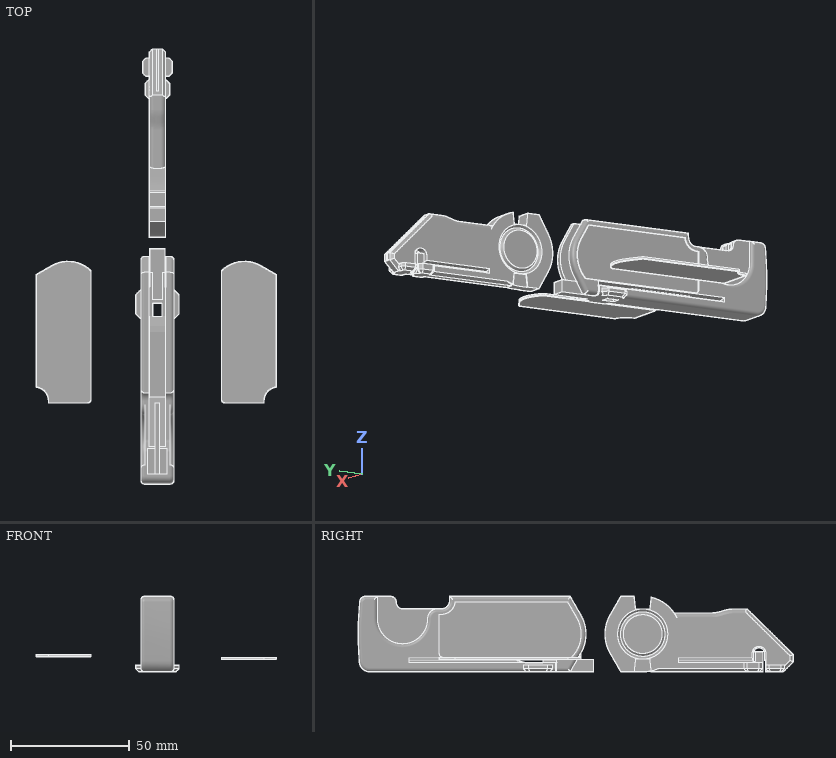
import cadquery as cq
import math


HEIGHT = 32.0
MID_Z = HEIGHT / 2
HUB_R = HEIGHT / 2
HUB_ANGLE = math.radians(30)
CARRIER_T = 7.0
EPS = 1.0
WING_H = 2.9
WING_BEVEL = 1.4
SLIT_BOTTOM = 3.9
SLIT_TOP = 5.8
SLIT_INNER_TOP = 5.0
FRONT_TIP_Y = 183.82

HANDLE_W = 14.0
PIVOT_Y = 80.3
EDGE_R = 1.6
SCOOP_FLOOR_X = 5.3
REAR_BOW = 0.9
REAR_TOP_R = 2.5
REAR_BOTTOM_R = 4.6
CUTOUT_Z = 26.7
CUTOUT_FRONT_Y = 38.6
CUTOUT_R = 3.4
CUTOUT_REAR_Y = 18.9
CUTOUT_RISE_R = (HEIGHT - CUTOUT_Z) / 2
SCOOP_Y = 18.8
SCOOP_Z = 22.5
SCOOP_R = 10.6
SCOOP_LIP_R = CUTOUT_Z - SCOOP_Z
HANDLE_SLIT_REAR_Y = 21.6
HANDLE_SLIT_FRONT_Y = 83.9
HANDLE_SLIT_DEPTH = 3.6
TONGUE_GAP = 0.5
POCKET_REAR_Y = 4.4
POCKET_SLOT_HALF = 0.95
POCKET_SLOT_FRONT_Y = 34.4
POCKET_SLOT_Z = 7.7
SHELF_HALF = 4.1
SHELF_FRONT_Y = 16.0
SHELF_DEPTH = 0.5
OPENING_HALF = 1.9
OPENING_REAR_Y = 70.9
OPENING_FRONT_Y = 76.4
HANDLE_WING_HALF = 9.2
HANDLE_WING_REAR_Y = 69.4
HANDLE_WING_FRONT_Y = 82.6
HANDLE_WING_RUN = 2.6

PLATE_R = HUB_R - 2.1
PLATE_BOTTOM = 6.2
PLATE_TOP = 29.5
PLATE_REAR_Y = 34.3
PLATE_CORNER_R = 1.5
PLATE_NOTCH_R = CUTOUT_R + 2.4
PLATE_T = 1.0
PLATE_CHAMFER = 0.3
RECESS_DEPTH = 0.5
LEFT_PLATE_X = -51.25
RIGHT_PLATE_X = 50.25
LEFT_PLATE_Z = 6.3
RIGHT_PLATE_Z = 5.2

HUB_Y = 120.2
ARM_TOP = 26.6
ARM_WAIST = 25.0
NOSE_TOP = (FRONT_TIP_Y, 7.4)
NOSE_BOTTOM = (FRONT_TIP_Y, 4.3)
SLOPE_TOP = (164.3, ARM_TOP)
SLOPE_RATIO = (SLOPE_TOP[1] - NOSE_TOP[1]) / (NOSE_TOP[0] - SLOPE_TOP[0])
TOP_EDGE_R = 2.0
BOTTOM_CHAMFER = 1.4
NOTCH_DEPTH = 5.4
NOTCH_HALF_TOP = 3.6
NOTCH_HALF_BASE = 3.0
NOTCH_WEB = 6.0
RING_OUTER_R = 10.6
RING_INNER_R = 8.2
RING_DEPTH = (RING_OUTER_R - RING_INNER_R) / 2
BLADE_SLOT_W = 0.8
BLADE_SLOT_DEPTH = 3.0
BLADE_SLOT_SETBACK = 1.7
CARRIER_SLIT_REAR_Y = 135.4
CARRIER_SLIT_DEPTH = 2.5
GATE_FRONT_Y = 172.2
GATE_REAR_Y = 166.4
GATE_TOP = 10.8
GATE_TAPER = 10.0
POST_FRONT_Y = 171.0
POST_REAR_Y = 167.7
POST_TOP = 8.6
FOOT_GAP = 1.1
WING_LENGTH = 7.8
WING_RUN = 1.4
NOSE_WING_HALF = 6.3
NOSE_WING_REAR_Y = 172.2
TONGUE_WING_HALF = 5.2
TONGUE_WING_REAR_Y = 162.9


def side_profile(x):
    """Sketch plane of a side outline: local x is Y, local y is Z."""
    return cq.Workplane("YZ", origin=(x, 0, 0))


def block(x_half, y0, y1, z0, z1):
    """Box centred on X."""
    return cq.Workplane("XY").box(2 * x_half, y1 - y0, z1 - z0, centered=(True, False, False)).translate(
        (0, y0, z0)
    )


def hub_points(centre_y, side):
    """Upper tangent point and upper corner of a round end; side is +1 toward +Y, -1 toward -Y."""
    tangent = (centre_y + side * HUB_R * math.cos(HUB_ANGLE), MID_Z + HUB_R * math.sin(HUB_ANGLE))
    reach = HUB_R / math.cos(HUB_ANGLE) - HUB_R * math.tan(HUB_ANGLE)
    corner = (centre_y + side * reach, HEIGHT)
    return tangent, corner


def mirror_z(point):
    return (point[0], HEIGHT - point[1])


def arc_mid(centre, radius, degrees):
    """Point on a circle, used as the middle of an arc."""
    angle = math.radians(degrees)
    return (centre[0] + radius * math.cos(angle), centre[1] + radius * math.sin(angle))


def slit_pair(face_x, depth, y0, y1):
    """Tapered grooves cut into both sides above a tongue."""
    profile = [
        (face_x + EPS, SLIT_BOTTOM),
        (face_x - depth, SLIT_BOTTOM),
        (face_x - depth, SLIT_INNER_TOP),
        (face_x, SLIT_TOP),
        (face_x + EPS, SLIT_TOP),
    ]
    groove = cq.Workplane("XZ", origin=(0, y0, 0)).polyline(profile).close().extrude(y0 - y1)
    return groove.union(groove.mirror("YZ"))


def thumb_wing(half_w, y0, y1, end_run, height):
    """Wing through the whole width: 45 degree ends and a bevelled lower rim."""
    inner = half_w - end_run
    plan = [(inner, y0), (half_w, y0 + end_run), (half_w, y1 - end_run), (inner, y1)]
    plan += [(-x, y) for x, y in reversed(plan)]
    wing = cq.Workplane("XY").polyline(plan).close().extrude(height)
    return wing.faces("<Z").edges().chamfer(WING_BEVEL)


def handle_outline(x, thickness):
    tangent, corner = hub_points(PIVOT_Y, 1)
    outline = (
        side_profile(x)
        .moveTo(REAR_BOW, 0)
        .lineTo(*mirror_z(corner))
        .lineTo(*mirror_z(tangent))
        .threePointArc((PIVOT_Y + HUB_R, MID_Z), tangent)
        .lineTo(*corner)
        .lineTo(REAR_BOW, HEIGHT)
        .threePointArc((0, MID_Z), (REAR_BOW, 0))
        .close()
        .extrude(thickness)
    )
    outline = outline.edges("|X").edges(">Z").edges("<Y").fillet(REAR_TOP_R)
    return outline.edges("|X").edges("<Z").edges("<Y").fillet(REAR_BOTTOM_R)


def cutout(x, thickness):
    """Opening in the top edge with a round front corner and an S-shaped rear end."""
    front_arc = (CUTOUT_FRONT_Y - CUTOUT_R, CUTOUT_Z + CUTOUT_R)
    rise_z = CUTOUT_Z + CUTOUT_RISE_R
    rise_y = CUTOUT_REAR_Y - CUTOUT_RISE_R
    lower_arc = (CUTOUT_REAR_Y, rise_z)
    upper_arc = (rise_y - CUTOUT_RISE_R, rise_z)
    return (
        side_profile(x)
        .moveTo(CUTOUT_FRONT_Y, HEIGHT + EPS)
        .lineTo(CUTOUT_FRONT_Y, front_arc[1])
        .threePointArc(arc_mid(front_arc, CUTOUT_R, -45), (front_arc[0], CUTOUT_Z))
        .lineTo(CUTOUT_REAR_Y, CUTOUT_Z)
        .threePointArc(arc_mid(lower_arc, CUTOUT_RISE_R, 225), (rise_y, rise_z))
        .threePointArc(arc_mid(upper_arc, CUTOUT_RISE_R, 45), (upper_arc[0], HEIGHT))
        .lineTo(upper_arc[0], HEIGHT + EPS)
        .close()
        .extrude(thickness)
    )


def scoop(x, thickness):
    """Finger scoop: a U open to the top, joined to the cutout by a rounded lip."""
    front_arc = (CUTOUT_FRONT_Y - CUTOUT_R, CUTOUT_Z + CUTOUT_R)
    front_y = SCOOP_Y + SCOOP_R
    rear_y = SCOOP_Y - SCOOP_R
    lip_arc = (front_y + SCOOP_LIP_R, SCOOP_Z)
    return (
        side_profile(x)
        .moveTo(CUTOUT_FRONT_Y, HEIGHT + EPS)
        .lineTo(CUTOUT_FRONT_Y, front_arc[1])
        .threePointArc(arc_mid(front_arc, CUTOUT_R, -45), (front_arc[0], CUTOUT_Z))
        .lineTo(lip_arc[0], CUTOUT_Z)
        .threePointArc(arc_mid(lip_arc, SCOOP_LIP_R, 135), (front_y, SCOOP_Z))
        .threePointArc((SCOOP_Y, SCOOP_Z - SCOOP_R), (rear_y, SCOOP_Z))
        .lineTo(rear_y, HEIGHT + EPS)
        .close()
        .extrude(thickness)
    )


def handle_cavity():
    """Space for the folded carrier: ramp for its nose, floor and the dip toward its hub."""
    floor_z = HEIGHT - ARM_TOP
    ramp_foot = (36.8, floor_z)
    ramp_top = (16.0, 26.0)
    dip_start = (64.2, floor_z)
    dip_bend = (66.7, 5.0)
    dip_end = (70.9, SLIT_BOTTOM)
    front_y = PIVOT_Y + HUB_R + EPS
    return (
        side_profile(-CARRIER_T / 2)
        .moveTo(ramp_top[0], HEIGHT + EPS)
        .lineTo(*ramp_top)
        .lineTo(*ramp_foot)
        .lineTo(*dip_start)
        .lineTo(*dip_bend)
        .lineTo(*dip_end)
        .lineTo(HANDLE_SLIT_FRONT_Y, SLIT_BOTTOM)
        .lineTo(HANDLE_SLIT_FRONT_Y, -EPS)
        .lineTo(front_y, -EPS)
        .lineTo(front_y, HEIGHT + EPS)
        .close()
        .extrude(CARRIER_T)
    )


def handle_catch():
    """Tab on the free end of the tongue; it reaches out past the round end."""
    tip_y = 99.5
    wide_half = 3.25
    narrow_half = 2.05
    wide_from_y = 89.5
    catch_rear_y = 78.0
    catch_top = 5.3
    root = block(wide_half, HANDLE_SLIT_FRONT_Y - EPS, tip_y, 0, SLIT_BOTTOM)
    ridge = block(narrow_half, catch_rear_y, tip_y, EPS, catch_top)
    head = block(wide_half, wide_from_y, tip_y, 0, catch_top)
    return root.union(ridge).union(head)


def make_handle():
    half = HANDLE_W / 2
    body = handle_outline(-SCOOP_FLOOR_X, 2 * SCOOP_FLOOR_X)
    body = body.cut(cutout(-SCOOP_FLOOR_X, 2 * SCOOP_FLOOR_X))
    cheek_t = half - SCOOP_FLOOR_X
    cheek = handle_outline(SCOOP_FLOOR_X, cheek_t).cut(scoop(SCOOP_FLOOR_X, cheek_t))
    cheek = cheek.faces(">X").edges().fillet(EDGE_R)
    body = body.union(cheek).union(cheek.mirror("YZ"))

    recess = plate_outline(half - RECESS_DEPTH, RECESS_DEPTH + EPS)
    body = body.cut(recess).cut(recess.mirror("YZ"))

    body = body.cut(handle_cavity())
    body = body.cut(block(POCKET_SLOT_HALF, POCKET_REAR_Y, POCKET_SLOT_FRONT_Y, POCKET_SLOT_Z, HEIGHT + EPS))
    body = body.cut(block(SHELF_HALF, POCKET_REAR_Y, SHELF_FRONT_Y, HEIGHT - SHELF_DEPTH, HEIGHT + EPS))

    body = body.cut(slit_pair(half, HANDLE_SLIT_DEPTH, HANDLE_SLIT_REAR_Y, HANDLE_SLIT_FRONT_Y))
    gap_rear_y = HANDLE_SLIT_FRONT_Y - TONGUE_GAP
    body = body.cut(block(half + EPS, gap_rear_y, HANDLE_SLIT_FRONT_Y, -EPS, SLIT_BOTTOM + EPS))
    wing = thumb_wing(HANDLE_WING_HALF, HANDLE_WING_REAR_Y, HANDLE_WING_FRONT_Y, HANDLE_WING_RUN, WING_H)
    opening = block(OPENING_HALF, OPENING_REAR_Y, OPENING_FRONT_Y, -EPS, SLIT_BOTTOM + EPS)
    return body.union(wing).cut(opening).union(handle_catch())


def plate_outline(x, thickness):
    """Plate shape in its place on the +X side of the handle."""
    tangent_y = PIVOT_Y + PLATE_R * math.cos(HUB_ANGLE)
    tangent_z = MID_Z + PLATE_R * math.sin(HUB_ANGLE)
    top_front_y = tangent_y - (PLATE_TOP - tangent_z) * math.tan(HUB_ANGLE)
    low_front_y = PIVOT_Y + math.sqrt(PLATE_R**2 - (MID_Z - PLATE_BOTTOM) ** 2)
    notch_y = CUTOUT_FRONT_Y - CUTOUT_R
    notch_z = CUTOUT_Z + CUTOUT_R
    rear_top_z = notch_z - PLATE_NOTCH_R
    plate = (
        side_profile(x)
        .moveTo(PLATE_REAR_Y, PLATE_BOTTOM)
        .lineTo(low_front_y, PLATE_BOTTOM)
        .threePointArc((PIVOT_Y + PLATE_R, MID_Z), (tangent_y, tangent_z))
        .lineTo(top_front_y, PLATE_TOP)
        .lineTo(notch_y + PLATE_NOTCH_R, PLATE_TOP)
        .threePointArc(arc_mid((notch_y, notch_z), PLATE_NOTCH_R, -45), (notch_y, rear_top_z))
        .lineTo(PLATE_REAR_Y, rear_top_z)
        .close()
        .extrude(thickness)
    )
    return plate.edges("|X").edges("<Y").edges("<Z").fillet(PLATE_CORNER_R)


def make_left_plate():
    """Plate laid flat with its upper edge toward -X."""
    plate = plate_outline(0, PLATE_T).rotate((0, 0, 0), (0, 1, 0), -90)
    box = plate.val().BoundingBox()
    plate = plate.translate((LEFT_PLATE_X - box.xmin, 0, LEFT_PLATE_Z - box.zmin))
    return plate.faces("<Z").edges().chamfer(PLATE_CHAMFER)


def make_right_plate():
    """Mirror image of the left plate at its own place."""
    plate = make_left_plate().mirror("YZ")
    return plate.translate((RIGHT_PLATE_X + LEFT_PLATE_X, 0, RIGHT_PLATE_Z - LEFT_PLATE_Z))


def carrier_arm():
    """Arm with a sloping nose; rounded upper edges and bevelled lower edges."""
    swell_end = (158.0, ARM_TOP)
    waist_start = (149.6, ARM_WAIST)
    rear_y = HUB_Y + NOTCH_HALF_TOP
    arm = (
        side_profile(-CARRIER_T / 2)
        .moveTo(rear_y, 0)
        .lineTo(FRONT_TIP_Y - NOSE_BOTTOM[1], 0)
        .lineTo(*NOSE_BOTTOM)
        .lineTo(*NOSE_TOP)
        .lineTo(*SLOPE_TOP)
        .lineTo(*swell_end)
        .spline([waist_start], tangents=[(-1, 0), (-1, 0)], includeCurrent=True)
        .lineTo(rear_y, ARM_WAIST)
        .close()
        .extrude(CARRIER_T)
    )
    wide = CARRIER_T
    slope_start_y = SLOPE_TOP[0] + EPS
    upper = cq.selectors.BoxSelector((-wide, rear_y + EPS, ARM_WAIST - EPS), (wide, slope_start_y, HEIGHT))
    lower = cq.selectors.BoxSelector((-wide, rear_y + EPS, -EPS), (wide, FRONT_TIP_Y + EPS, NOSE_TOP[1]))
    slope = cq.selectors.BoxSelector((-wide, slope_start_y, NOSE_TOP[1] + EPS), (wide, FRONT_TIP_Y, ARM_TOP))
    rounded = arm.faces("<X or >X").edges().edges(upper).fillet(TOP_EDGE_R)
    bevelled = arm.faces("<X or >X").edges().edges(lower + slope).chamfer(BOTTOM_CHAMFER)
    return rounded.intersect(bevelled)


def carrier_hub():
    """Round end with two flats toward -Y and a plain round side toward the arm."""
    tangent, corner = hub_points(HUB_Y, -1)
    return (
        side_profile(-CARRIER_T / 2)
        .moveTo(HUB_Y, 0)
        .lineTo(*mirror_z(corner))
        .lineTo(*mirror_z(tangent))
        .threePointArc((HUB_Y - HUB_R, MID_Z), tangent)
        .lineTo(*corner)
        .lineTo(HUB_Y, HEIGHT)
        .threePointArc((HUB_Y + HUB_R, MID_Z), (HUB_Y, 0))
        .close()
        .extrude(CARRIER_T)
    )


def hub_notch(x, thickness):
    """Upper notch of the hub, slightly wider at its mouth."""
    slope = (NOTCH_HALF_TOP - NOTCH_HALF_BASE) / NOTCH_DEPTH
    mouth = NOTCH_HALF_TOP + slope * EPS
    return (
        side_profile(x)
        .polyline(
            [
                (HUB_Y - NOTCH_HALF_BASE, HEIGHT - NOTCH_DEPTH),
                (HUB_Y + NOTCH_HALF_BASE, HEIGHT - NOTCH_DEPTH),
                (HUB_Y + mouth, HEIGHT + EPS),
                (HUB_Y - mouth, HEIGHT + EPS),
            ]
        )
        .close()
        .extrude(thickness)
    )


def hub_ring():
    """V groove around the pivot disc on the +X side."""
    face_x = CARRIER_T / 2
    mid_r = (RING_OUTER_R + RING_INNER_R) / 2
    return (
        cq.Workplane("XY", origin=(0, HUB_Y, MID_Z))
        .polyline([(face_x, RING_INNER_R), (face_x, RING_OUTER_R), (face_x - RING_DEPTH, mid_r)])
        .close()
        .revolve(360, (0, 0, 0), (1, 0, 0))
    )


def blade_slot():
    """Thin slot for the blade, parallel to the nose slope."""
    half = BLADE_SLOT_W / 2
    end_y = SLOPE_TOP[0] + BLADE_SLOT_SETBACK
    end = (end_y, ARM_TOP - BLADE_SLOT_SETBACK * SLOPE_RATIO)
    return (
        side_profile(-half)
        .moveTo(NOSE_TOP[0] + EPS, NOSE_TOP[1] - EPS * SLOPE_RATIO)
        .lineTo(end[0], end[1])
        .lineTo(end[0], end[1] - BLADE_SLOT_DEPTH)
        .lineTo(NOSE_TOP[0] + EPS, NOSE_TOP[1] - EPS * SLOPE_RATIO - BLADE_SLOT_DEPTH)
        .close()
        .extrude(BLADE_SLOT_W)
    )


def tongue_gate():
    """Arched gap around the post on the free end of the tongue; the arch narrows toward the middle."""
    half = CARRIER_T / 2
    radius = (GATE_FRONT_Y - GATE_REAR_Y) / 2
    spring_z = GATE_TOP - radius
    arch = (
        side_profile(half)
        .moveTo(GATE_REAR_Y, SLIT_BOTTOM)
        .lineTo(GATE_FRONT_Y, SLIT_BOTTOM)
        .lineTo(GATE_FRONT_Y, spring_z)
        .threePointArc((GATE_FRONT_Y - radius, GATE_TOP), (GATE_REAR_Y, spring_z))
        .close()
        .extrude(-half, taper=GATE_TAPER)
    )
    post = block(half + EPS, POST_REAR_Y, POST_FRONT_Y, 0, POST_TOP)
    foot = block(half + EPS, POST_FRONT_Y, POST_FRONT_Y + FOOT_GAP, -EPS, SLIT_BOTTOM + EPS)
    return arch.union(arch.mirror("YZ")).cut(post).union(foot)


def make_carrier():
    half = CARRIER_T / 2
    rebate = (CARRIER_T - NOTCH_WEB) / 2
    nose_wing = thumb_wing(NOSE_WING_HALF, NOSE_WING_REAR_Y, NOSE_WING_REAR_Y + WING_LENGTH, WING_RUN, WING_H)
    tongue_wing = thumb_wing(
        TONGUE_WING_HALF, TONGUE_WING_REAR_Y, TONGUE_WING_REAR_Y + WING_LENGTH, WING_RUN, SLIT_BOTTOM
    )
    body = carrier_arm().union(nose_wing).union(tongue_wing)
    body = body.union(carrier_hub()).cut(hub_notch(-half, CARRIER_T))
    lower_notch = hub_notch(half - rebate, rebate).mirror("XY", (0, 0, MID_Z))
    for feature in (lower_notch, hub_ring()):
        body = body.cut(feature).cut(feature.mirror("YZ"))
    body = body.cut(blade_slot()).cut(tongue_gate())
    return body.cut(slit_pair(half, CARRIER_SLIT_DEPTH, CARRIER_SLIT_REAR_Y, POST_REAR_Y))


result = cq.Compound.makeCompound(
    [make_handle().val(), make_left_plate().val(), make_right_plate().val(), make_carrier().val()]
)